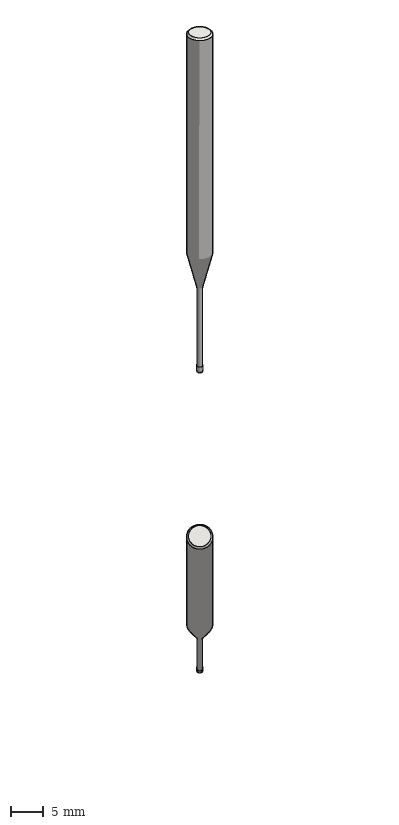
import cadquery as cq
import math

total_length = 60.0
shank_diameter = 4.0
cutter_diameter = 1.0
neck_diameter = 0.9
cutter_length = 1.25
neck_end_height = 15.0
cone_top_height = 21.1
chamfer_height = 0.3
chamfer_width = 0.3

shank_radius = shank_diameter / 2
neck_radius = neck_diameter / 2
ball_radius = cutter_diameter / 2


def revolve_about_z(profile):
    """Turn a closed half profile, drawn on the -Y side of the YZ plane, about Z."""
    return profile.revolve(360, (0, 0, 0), (0, 1, 0))


def make_holder():
    """Chamfered shank that tapers down to the slender neck."""
    profile = (
        cq.Workplane("YZ")
        .moveTo(0, cutter_length)
        .lineTo(-neck_radius, cutter_length)
        .lineTo(-neck_radius, neck_end_height)
        .lineTo(-shank_radius, cone_top_height)
        .lineTo(-shank_radius, total_length - chamfer_height)
        .lineTo(-shank_radius + chamfer_width, total_length)
        .lineTo(0, total_length)
        .close()
    )
    return revolve_about_z(profile)


def make_cutter():
    """Short cylinder below the neck, ending in a hemispherical tip."""
    arc_offset = ball_radius * math.sqrt(0.5)
    profile = (
        cq.Workplane("YZ")
        .moveTo(0, 0)
        .threePointArc((-arc_offset, ball_radius - arc_offset), (-ball_radius, ball_radius))
        .lineTo(-ball_radius, cutter_length)
        .lineTo(0, cutter_length)
        .close()
    )
    return revolve_about_z(profile)


holder = make_holder()
cutter = make_cutter()

result = cq.Compound.makeCompound([holder.val(), cutter.val()])